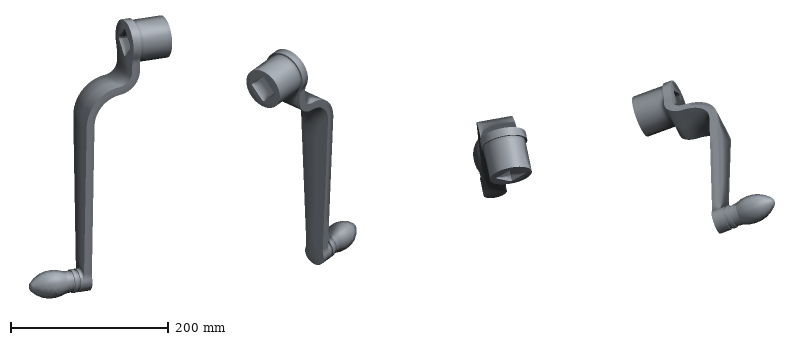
import cadquery as cq
import math

plate_thickness = 11.0
rim_radius = 29.7
socket_radius = 27.2
socket_back = 54.5
square_side = 28.0
square_corner_radius = 18.5

arm_half_width_at_hub = 26.0
arm_half_width_at_grip = 12.87
grip_drop = 314.8
arm_offset = 61.5
bend_start = -31.5
hub_bend_radius = 18.5
arm_bend_radius = 49.5
side_blend_radius = 21.8

barrel_radius = 15.2
barrel_length = 5.0
groove_radius = 13.6
collar_start = 8.5
collar_end = 12.7
neck_start = 17.0
neck_radius = 14.0
bulb_start = 22.5
bulb_start_radius = 14.5
bulb_middle = 40.0
bulb_radius = 18.0
tip_radius = 5.8
tip_start = 67.8
grip_length = 70.0
flare_radius = 1.8


def y_cylinder(radius, front, back, z=0):
    """Cylinder along Y between two Y positions."""
    return cq.Workplane("XZ", origin=(0, front, z)).circle(radius).extrude(front - back)


def arm_side_profile():
    """Constant-thickness strip with two opposite, tangent bends."""
    hub_bend_back = hub_bend_radius + plate_thickness
    arm_bend_back = arm_bend_radius - plate_thickness
    radius_sum = hub_bend_radius + arm_bend_radius
    angle = math.acos(1 - arm_offset / radius_sum)
    bend_end = bend_start - radius_sum * math.sin(angle)
    hub_center_y = -hub_bend_radius
    arm_center_y = arm_bend_radius - arm_offset

    def hub_bend(radius, turn):
        return (hub_center_y + radius * math.cos(turn), bend_start - radius * math.sin(turn))

    def arm_bend(radius, turn):
        return (arm_center_y - radius * math.cos(turn), bend_end + radius * math.sin(turn))

    return (
        cq.Workplane("YZ")
        .moveTo(0, rim_radius)
        .lineTo(0, bend_start)
        .threePointArc(hub_bend(hub_bend_radius, angle / 2), hub_bend(hub_bend_radius, angle))
        .threePointArc(arm_bend(arm_bend_radius, angle / 2), (-arm_offset, bend_end))
        .lineTo(-arm_offset, -grip_drop - barrel_radius)
        .lineTo(plate_thickness - arm_offset, -grip_drop - barrel_radius)
        .lineTo(plate_thickness - arm_offset, bend_end)
        .threePointArc(arm_bend(arm_bend_back, angle / 2), arm_bend(arm_bend_back, angle))
        .threePointArc(hub_bend(hub_bend_back, angle / 2), (plate_thickness, bend_start))
        .lineTo(plate_thickness, rim_radius)
        .close()
        .extrude(rim_radius, both=True)
    )


def arm_front_outline():
    """Tapered arm with round ends, blended where the edges meet the rounds.

    It reaches forward past the arm's front face so that it also bounds the barrel flare.
    """
    front = -arm_offset - flare_radius
    back = plate_thickness
    taper = (
        cq.Workplane("XZ", origin=(0, front, 0))
        .polyline([
            (-arm_half_width_at_hub, 0),
            (arm_half_width_at_hub, 0),
            (arm_half_width_at_grip, -grip_drop),
            (-arm_half_width_at_grip, -grip_drop),
        ])
        .close()
        .extrude(front - back)
    )
    outline = taper.union(y_cylinder(rim_radius, front, back))
    outline = outline.union(y_cylinder(barrel_radius, front, back, -grip_drop))
    inner_corners = cq.selectors.BoxSelector(
        (-rim_radius, front, -grip_drop + 0.5), (rim_radius, back, -0.5)
    )
    return outline.edges("|Y").edges(inner_corners).fillet(side_blend_radius)


def grip():
    """Turned handle with two grooves, a neck and a bulb."""
    tip_rise = grip_length - tip_start
    tip_cap_radius = (tip_radius**2 + tip_rise**2) / (2 * tip_rise)
    tip_arc_x = tip_radius / 2
    tip_arc_y = tip_cap_radius - grip_length - math.sqrt(tip_cap_radius**2 - tip_arc_x**2)
    bulb_start_direction = (0.5, -1)
    bulb_middle_direction = (0, -1)
    bulb_end_direction = (-1, -1)
    profile = (
        cq.Workplane("XY")
        .moveTo(0, plate_thickness)
        .lineTo(barrel_radius, plate_thickness)
        .lineTo(barrel_radius, -barrel_length)
        .lineTo(groove_radius, -barrel_length)
        .lineTo(groove_radius, -collar_start)
        .lineTo(barrel_radius, -collar_start)
        .lineTo(barrel_radius, -collar_end)
        .lineTo(groove_radius, -collar_end)
        .lineTo(groove_radius, -neck_start)
        .lineTo(neck_radius, -neck_start)
        .lineTo(bulb_start_radius, -bulb_start)
        .spline(
            [(bulb_radius, -bulb_middle), (tip_radius, -tip_start)],
            tangents=[bulb_start_direction, bulb_middle_direction, bulb_end_direction],
            includeCurrent=True,
        )
        .threePointArc((tip_arc_x, tip_arc_y), (0, -grip_length))
        .close()
    )
    turned = profile.revolve(360, (0, 0, 0), (0, 1, 0))
    return turned.translate((0, -arm_offset, -grip_drop))


def barrel_flare():
    """Concave ring where the barrel leaves the arm, kept within the arm outline."""
    mid_arc = flare_radius * (1 - math.sqrt(0.5))
    ring = (
        cq.Workplane("XY")
        .moveTo(barrel_radius, 0)
        .lineTo(barrel_radius + flare_radius, 0)
        .threePointArc((barrel_radius + mid_arc, -mid_arc), (barrel_radius, -flare_radius))
        .close()
        .revolve(360, (0, 0, 0), (0, 1, 0))
        .translate((0, -arm_offset, -grip_drop))
    )
    return ring.intersect(arm_front_outline())


def square_drive_hole():
    """Square through-hole standing on its corner, with trimmed corners."""
    square = (
        cq.Workplane("XZ")
        .transformed(rotate=(0, 0, 45))
        .rect(square_side, square_side)
        .extrude(-socket_back)
    )
    return square.intersect(y_cylinder(square_corner_radius, 0, socket_back))


arm = arm_side_profile().intersect(arm_front_outline())
socket = y_cylinder(socket_radius, 0, socket_back)
result = arm.union(socket).union(grip()).union(barrel_flare()).cut(square_drive_hole())